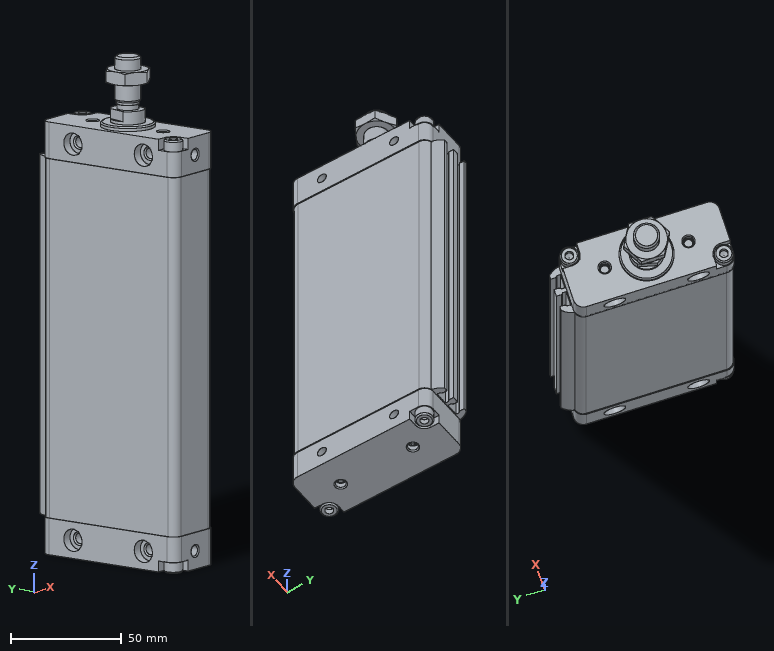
import cadquery as cq
import math

TOTAL_LENGTH = 234.0
TOTAL_DEPTH = 82.0
CAP_WIDTH = 30.0
CAP_DEPTH = 76.5
CAP_HEIGHT = 17.0
CORNER_RADIUS = 4.7
HOUSING_LENGTH = 201.2
BARREL_INSET = 0.5

CAP_MID = CAP_HEIGHT / 2
BARREL_LENGTH = HOUSING_LENGTH - 2 * CAP_HEIGHT
BARREL_BACK = CAP_DEPTH / 2

RAIL_TIP = TOTAL_DEPTH - CAP_DEPTH / 2
LIP_THICKNESS = 2.5
LIP_TAPER = 0.7
CENTRE_LIP_HALF = 1.6
CENTRE_STEM_HALF = 1.0
SLOT_MOUTH_FAR = 6.8
SLOT_FAR = 7.5
SLOT_FLOOR_RISE = 0.5
SIDE_RAIL_TIP_X = 8.7
SIDE_RAIL_FOOT_X = 11.5
SIDE_RAIL_BULGE = 0.5

POCKET_DIAMETER = 9.8
POCKET_DEPTH = 5.1
SCREW_DIAMETER = 8.7
SCREW_CHAMFER = 0.7
SOCKET_DIAMETER = 4.0
SOCKET_DEPTH = 2.8
SOCKET_TIP_DEPTH = 1.2
SOCKET_TIP_TAPER = 59
SCREW_X = CAP_WIDTH / 2 - CORNER_RADIUS
SCREW_Y = CAP_DEPTH / 2 - CORNER_RADIUS

COUNTERSINK_TAPER = 45
HOLE_SPACING = 40.0
MOUNT_DIAMETER = 5.0
MOUNT_RIM_DIAMETER = 6.3
MOUNT_BORE_DIAMETER = 10.3
MOUNT_BORE_DEPTH = 4.7
THREAD_DIAMETER = 5.0
THREAD_CORE_DIAMETER = 4.0
THREAD_CORE_EXTRA = 1.0
THREAD_RIM_DIAMETER = 6.0
THREAD_DEPTH = 3.3
PORT_DEPTH = 7.0

COLLAR_DIAMETER = 25.0
COLLAR_HEIGHT = 2.0
COLLAR_CHAMFER = 0.7

ROD_DIAMETER = 16.0
ROD_SHOULDER = 209.5
FLAT_BOTTOM = 204.8
FLATS_ACROSS = 13.0
FLATS_ANGLE = -14
UNDERCUT_DIAMETER = 10.0
UNDERCUT_TOP = 211.8
NECK_DIAMETER = 10.8
THREAD_START = 213.0
STUD_DIAMETER = 12.0
STUD_CHAMFER = 1.0

NUT_BOTTOM = 221.8
NUT_HEIGHT = 6.0
NUT_ACROSS_FLATS = 19.0
HEXAGON_HALF_ANGLE = 30
NUT_CHAMFER_ANGLE = 20


def cylinder(diameter, bottom, top, x=0, y=0):
    return cq.Workplane("XY", origin=(x, y, bottom)).circle(diameter / 2).extrude(top - bottom)


def centre_rail():
    lip_bottom = RAIL_TIP - LIP_THICKNESS
    half = [
        (CENTRE_STEM_HALF, BARREL_BACK - CORNER_RADIUS),
        (CENTRE_STEM_HALF, lip_bottom - LIP_TAPER),
        (CENTRE_LIP_HALF, lip_bottom),
        (CENTRE_LIP_HALF, RAIL_TIP),
    ]
    mirrored = [(-x, y) for x, y in reversed(half)]
    base = cq.Workplane("XY", origin=(0, 0, CAP_HEIGHT))
    return base.polyline(half + mirrored).close().extrude(BARREL_LENGTH)


def side_rail(side):
    lip_bottom = RAIL_TIP - LIP_THICKNESS
    root = BARREL_BACK - CORNER_RADIUS
    bulge_x = side * ((SIDE_RAIL_TIP_X + SIDE_RAIL_FOOT_X) / 2 + SIDE_RAIL_BULGE)
    bulge_y = (RAIL_TIP + BARREL_BACK) / 2
    return (
        cq.Workplane("XY", origin=(0, 0, CAP_HEIGHT))
        .moveTo(side * SLOT_FAR, root)
        .lineTo(side * SLOT_FAR, lip_bottom - LIP_TAPER)
        .lineTo(side * SLOT_MOUTH_FAR, lip_bottom)
        .lineTo(side * SLOT_MOUTH_FAR, RAIL_TIP)
        .lineTo(side * SIDE_RAIL_TIP_X, RAIL_TIP)
        .threePointArc((bulge_x, bulge_y), (side * SIDE_RAIL_FOOT_X, BARREL_BACK))
        .lineTo(side * SIDE_RAIL_FOOT_X, root)
        .close()
        .extrude(BARREL_LENGTH)
    )


def make_barrel():
    width = CAP_WIDTH - 2 * BARREL_INSET
    barrel = (
        cq.Workplane("XY", origin=(0, BARREL_INSET / 2, CAP_HEIGHT))
        .rect(width, CAP_DEPTH - BARREL_INSET)
        .extrude(BARREL_LENGTH)
    )
    barrel = barrel.edges("|Z and <Y").fillet(CORNER_RADIUS - BARREL_INSET)
    barrel = barrel.edges("|Z and >Y").fillet(CORNER_RADIUS)
    slot_floor = (
        cq.Workplane("XY", origin=(0, BARREL_BACK, CAP_HEIGHT))
        .rect(2 * SLOT_FAR, 2 * SLOT_FLOOR_RISE)
        .extrude(BARREL_LENGTH)
    )
    barrel = barrel.union(slot_floor)
    barrel = barrel.union(centre_rail())
    for side in (-1, 1):
        barrel = barrel.union(side_rail(side))
    return barrel


def screw_pocket(side):
    """Recess round the screw axis, open through both faces at the corner."""
    x = side * SCREW_X
    y = side * SCREW_Y
    floor = CAP_HEIGHT - POCKET_DEPTH
    pocket = cylinder(POCKET_DIAMETER, floor, CAP_HEIGHT, x, y)
    base = cq.Workplane("XY", origin=(x, y, floor))
    opening = base.rect(POCKET_DIAMETER, POCKET_DIAMETER).extrude(POCKET_DEPTH)
    shift = side * POCKET_DIAMETER / 2
    return pocket.union(opening.translate((shift, 0, 0))).union(opening.translate((0, shift, 0)))


def screw_head(side):
    x = side * SCREW_X
    y = side * SCREW_Y
    head = cylinder(SCREW_DIAMETER, CAP_HEIGHT - POCKET_DEPTH, CAP_HEIGHT, x, y)
    head = head.faces(">Z").chamfer(SCREW_CHAMFER)
    socket = cylinder(SOCKET_DIAMETER, CAP_HEIGHT - SOCKET_DEPTH, CAP_HEIGHT, x, y)
    tip = socket.faces("<Z").workplane().circle(SOCKET_DIAMETER / 2)
    return head.cut(tip.extrude(SOCKET_TIP_DEPTH, taper=SOCKET_TIP_TAPER))


def threaded_hole(face, depth):
    """Countersunk hole down from the face, with a narrower core below the thread."""
    core = face.circle(THREAD_CORE_DIAMETER / 2).extrude(-depth - THREAD_CORE_EXTRA)
    thread = face.circle(THREAD_DIAMETER / 2).extrude(-depth)
    rim_depth = (THREAD_RIM_DIAMETER - THREAD_DIAMETER) / 2
    rim = face.circle(THREAD_RIM_DIAMETER / 2).extrude(-rim_depth, taper=COUNTERSINK_TAPER)
    return core.union(thread).union(rim)


def mounting_hole(y):
    face = cq.Workplane("YZ", origin=(-CAP_WIDTH / 2, y, CAP_MID))
    bore = face.circle(MOUNT_BORE_DIAMETER / 2).extrude(MOUNT_BORE_DEPTH)
    hole = face.circle(MOUNT_DIAMETER / 2).extrude(CAP_WIDTH)
    rim_depth = (MOUNT_RIM_DIAMETER - MOUNT_DIAMETER) / 2
    bore_floor = face.workplane(offset=MOUNT_BORE_DEPTH)
    sink = bore_floor.circle(MOUNT_RIM_DIAMETER / 2).extrude(rim_depth, taper=COUNTERSINK_TAPER)
    return bore.union(hole).union(sink)


def make_cap():
    cap = cq.Workplane("XY").rect(CAP_WIDTH, CAP_DEPTH).extrude(CAP_HEIGHT)
    cap = cap.edges("|Z").fillet(CORNER_RADIUS)
    for side in (-1, 1):
        cap = cap.cut(screw_pocket(side)).union(screw_head(side))
        cap = cap.cut(mounting_hole(side * HOLE_SPACING / 2))
        end_face = cq.Workplane("XY", origin=(0, side * HOLE_SPACING / 2, CAP_HEIGHT))
        cap = cap.cut(threaded_hole(end_face, THREAD_DEPTH))
    port_face = cq.Workplane("XZ", origin=(0, -CAP_DEPTH / 2, CAP_MID))
    return cap.cut(threaded_hole(port_face, PORT_DEPTH))


def make_front_cap():
    cap = make_cap().translate((0, 0, HOUSING_LENGTH - CAP_HEIGHT))
    collar = cylinder(COLLAR_DIAMETER, HOUSING_LENGTH, HOUSING_LENGTH + COLLAR_HEIGHT)
    collar = collar.faces(">Z").chamfer(COLLAR_CHAMFER)
    return cap.union(collar).cut(cylinder(ROD_DIAMETER, HOUSING_LENGTH - CAP_HEIGHT, TOTAL_LENGTH))


def make_rear_cap():
    return make_cap().mirror("XY").translate((0, 0, CAP_HEIGHT))


def make_rod():
    flats = (
        cq.Workplane("XY", origin=(0, 0, FLAT_BOTTOM))
        .rect(FLATS_ACROSS, ROD_DIAMETER)
        .extrude(ROD_SHOULDER - FLAT_BOTTOM)
        .rotate((0, 0, 0), (0, 0, 1), FLATS_ANGLE)
    )
    spanner_section = cylinder(ROD_DIAMETER, FLAT_BOTTOM, ROD_SHOULDER).intersect(flats)
    stud = cylinder(STUD_DIAMETER, THREAD_START, TOTAL_LENGTH).faces(">Z").chamfer(STUD_CHAMFER)
    thread_runout = (STUD_DIAMETER - NECK_DIAMETER) / 2
    stud = stud.faces("<Z").chamfer(STUD_CHAMFER, thread_runout)
    rod = cylinder(ROD_DIAMETER, HOUSING_LENGTH - CAP_HEIGHT, FLAT_BOTTOM)
    rod = rod.union(spanner_section)
    rod = rod.union(cylinder(UNDERCUT_DIAMETER, ROD_SHOULDER, UNDERCUT_TOP))
    rod = rod.union(cylinder(NECK_DIAMETER, UNDERCUT_TOP, THREAD_START))
    return rod.union(stud)


def make_nut():
    corner_diameter = NUT_ACROSS_FLATS / math.cos(math.radians(HEXAGON_HALF_ANGLE))
    hexagon = (
        cq.Workplane("XY", origin=(0, 0, NUT_BOTTOM))
        .polygon(6, corner_diameter)
        .extrude(NUT_HEIGHT)
        .rotate((0, 0, 0), (0, 0, 1), HEXAGON_HALF_ANGLE)
    )
    corner_reach = (corner_diameter - NUT_ACROSS_FLATS) / 2
    corner_drop = corner_reach * math.tan(math.radians(NUT_CHAMFER_ANGLE))
    crown = cylinder(corner_diameter, NUT_BOTTOM, NUT_BOTTOM + NUT_HEIGHT)
    for end in (">Z", "<Z"):
        crown = crown.faces(end).chamfer(corner_drop, corner_reach)
    return hexagon.intersect(crown).cut(cylinder(STUD_DIAMETER, NUT_BOTTOM, NUT_BOTTOM + NUT_HEIGHT))


barrel = make_barrel()
front_cap = make_front_cap()
rear_cap = make_rear_cap()
rod = make_rod()
nut = make_nut()

result = cq.Compound.makeCompound([barrel.val(), front_cap.val(), rear_cap.val(), rod.val(), nut.val()])